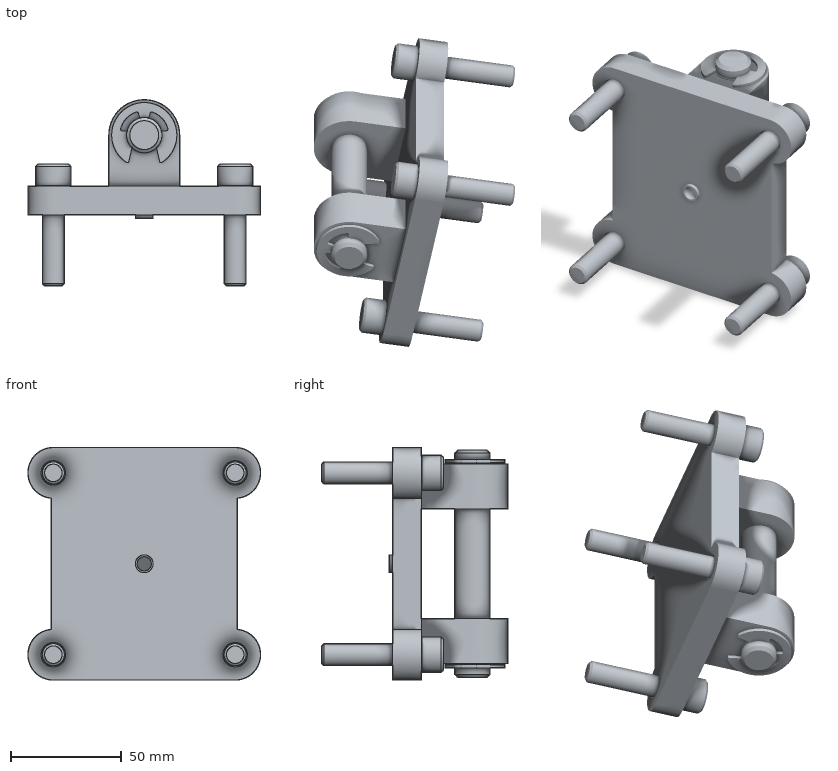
import cadquery as cq
import math

overall_size = 105.0
ear_diameter = 23.0
plate_width = 84.0
plate_thickness = 13.0
screw_pitch = overall_size - ear_diameter

lug_width = 32.0
lug_radius = lug_width / 2
lug_axis_y = 23.0
lug_outer_z = 45.0
lug_inner_z = 24.8

pin_diameter = 16.0
pin_length = 102.7
pin_chamfer = 1.5

groove_diameter = 15.0
clip_diameter = 29.4
clip_thickness = 1.5
clip_gap = 0.4
clip_inner_z = lug_outer_z + clip_gap
clip_bottoms = (clip_inner_z, -clip_inner_z - clip_thickness)
clip_tip_y = 12.3
clip_mouth_inner_half_width = 5.5
clip_mouth_inner_y = 5.2
clip_mouth_outer_half_width = 7.0
clip_window_radius = 11.0
clip_window_edge_y = 1.9
clip_prong_half_angle = math.radians(15)
clip_window_corner_radius = 0.8

screw_diameter = 10.0
screw_hole_diameter = 11.0
screw_projection = 32.0
screw_head_diameter = 16.0
screw_head_height = 10.0
screw_head_chamfer = 1.0
washer_face_diameter = 15.0
washer_face_height = 0.3
screw_tip_chamfer = 1.0

sleeve_diameter = 8.0
sleeve_bore_diameter = 6.4
sleeve_length = 10.0
sleeve_projection = 1.6

screw_positions = [
    (x_side * screw_pitch / 2, z_side * screw_pitch / 2)
    for x_side in (-1, 1)
    for z_side in (-1, 1)
]


def y_cylinder(diameter, y_start, y_end, x=0.0, z=0.0):
    """Cylinder along +Y between two Y positions."""
    origin = cq.Vector(x, y_start, z)
    solid = cq.Solid.makeCylinder(diameter / 2, y_end - y_start, origin, cq.Vector(0, 1, 0))
    return cq.Workplane(obj=solid)


def z_cylinder(diameter, z_start, z_end):
    """Cylinder on the hinge axis between two Z positions."""
    origin = cq.Vector(0, lug_axis_y, z_start)
    return cq.Workplane(obj=cq.Solid.makeCylinder(diameter / 2, z_end - z_start, origin))


def make_plate():
    """Flat plate with a round ear at each corner."""
    middle = cq.Workplane().box(plate_width, plate_thickness, screw_pitch)
    full_height = cq.Workplane().box(screw_pitch, plate_thickness, overall_size)
    plate = middle.union(full_height).translate((0, -plate_thickness / 2, 0))
    for x, z in screw_positions:
        plate = plate.union(y_cylinder(ear_diameter, -plate_thickness, 0, x, z))
    return plate


def make_lug(bottom_z):
    """Round-ended lug rising from the back face of the plate."""
    return (
        cq.Workplane("XY", origin=(0, 0, bottom_z))
        .moveTo(-lug_radius, 0)
        .lineTo(-lug_radius, lug_axis_y)
        .threePointArc((0, lug_axis_y + lug_radius), (lug_radius, lug_axis_y))
        .lineTo(lug_radius, 0)
        .close()
        .extrude(lug_outer_z - lug_inner_z)
    )


def make_bracket():
    """Plate and lugs with the screw, sleeve and pin holes."""
    bracket = make_plate()
    for bottom_z in (lug_inner_z, -lug_outer_z):
        bracket = bracket.union(make_lug(bottom_z))
    for x, z in screw_positions:
        bracket = bracket.cut(y_cylinder(screw_hole_diameter, -plate_thickness, 0, x, z))
    sleeve_hole_end = sleeve_length - sleeve_projection - plate_thickness
    bracket = bracket.cut(y_cylinder(sleeve_diameter, -plate_thickness, sleeve_hole_end))
    return bracket.cut(z_cylinder(pin_diameter, -lug_outer_z, lug_outer_z))


def make_pin():
    """Chamfered pin with one clip groove near each end."""
    pin = z_cylinder(pin_diameter, -pin_length / 2, pin_length / 2)
    pin = pin.faces("|Z").chamfer(pin_chamfer)
    for bottom_z in clip_bottoms:
        top_z = bottom_z + clip_thickness
        groove = z_cylinder(pin_diameter, bottom_z, top_z).cut(
            z_cylinder(groove_diameter, bottom_z, top_z)
        )
        pin = pin.cut(groove)
    return pin


def make_clip_window(plane):
    """Window on the +X side, between the middle prong and the side of the clip."""
    edge_start_x = math.sqrt(clip_window_radius**2 - clip_window_edge_y**2)
    prong_x = clip_window_radius * math.sin(clip_prong_half_angle)
    prong_y = clip_window_radius * math.cos(clip_prong_half_angle)
    inner_x = clip_window_edge_y * math.tan(clip_prong_half_angle)
    diagonal = clip_window_radius * math.sqrt(0.5)
    return (
        plane.moveTo(inner_x, clip_window_edge_y)
        .lineTo(edge_start_x, clip_window_edge_y)
        .threePointArc((diagonal, diagonal), (prong_x, prong_y))
        .close()
        .extrude(clip_thickness)
        .edges("|Z")
        .edges(">X or >Y")
        .fillet(clip_window_corner_radius)
    )


def make_clip(bottom_z):
    """E-shaped retaining clip, its mouth opening towards the plate."""
    plane = cq.Workplane("XY", origin=(0, lug_axis_y, bottom_z))
    clip = plane.circle(clip_diameter / 2).circle(groove_diameter / 2).extrude(clip_thickness)
    mouth = (
        plane.moveTo(0, 0)
        .lineTo(clip_mouth_inner_half_width, -clip_mouth_inner_y)
        .lineTo(clip_mouth_outer_half_width, -clip_tip_y)
        .lineTo(clip_diameter / 2, -clip_tip_y)
        .lineTo(clip_diameter / 2, -clip_diameter / 2)
        .lineTo(-clip_diameter / 2, -clip_diameter / 2)
        .lineTo(-clip_diameter / 2, -clip_tip_y)
        .lineTo(-clip_mouth_outer_half_width, -clip_tip_y)
        .lineTo(-clip_mouth_inner_half_width, -clip_mouth_inner_y)
        .close()
        .extrude(clip_thickness)
    )
    window = make_clip_window(plane)
    return clip.cut(mouth).cut(window).cut(window.mirror("YZ"))


def make_screw(x, z):
    """Cap screw seated on the back face by a washer face, its shank through the plate."""
    head = y_cylinder(screw_head_diameter, washer_face_height, screw_head_height, x, z)
    head = head.faces(">Y").chamfer(screw_head_chamfer)
    washer_face = y_cylinder(washer_face_diameter, 0, washer_face_height, x, z)
    shank = y_cylinder(screw_diameter, -plate_thickness - screw_projection, 0, x, z)
    shank = shank.faces("<Y").chamfer(screw_tip_chamfer)
    return head.union(washer_face).union(shank)


def make_sleeve():
    """Plain tube projecting a little from the front face."""
    front_y = -plate_thickness - sleeve_projection
    back_y = front_y + sleeve_length
    tube = y_cylinder(sleeve_diameter, front_y, back_y)
    return tube.cut(y_cylinder(sleeve_bore_diameter, front_y, back_y))


bracket = make_bracket()
pin = make_pin()
clips = [make_clip(bottom_z) for bottom_z in clip_bottoms]
screws = [make_screw(x, z) for x, z in screw_positions]
sleeve = make_sleeve()

result = cq.Compound.makeCompound(
    [
        bracket.val(),
        pin.val(),
        *[clip.val() for clip in clips],
        *[screw.val() for screw in screws],
        sleeve.val(),
    ]
)